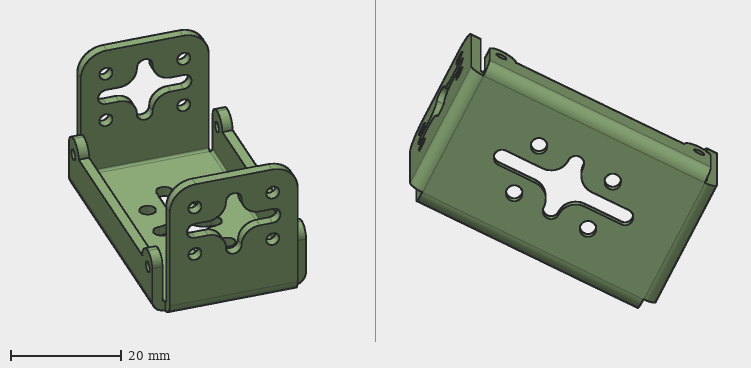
import cadquery as cq

length = 50.0
width = 29.7
end_wall_height = 27.6

thickness = 2.0
bend_radius = 2.5
inner_bend_radius = bend_radius - thickness
floor_length = length - 2 * bend_radius
floor_width = width - 2 * bend_radius

end_corner_radius = 5.0
end_pattern_drop = 10.0
end_slot_length = 18.0
end_hole_diameter = 2.5

side_wall_height = 9.2
ear_height = 12.0
ear_outer_radius = 2.4
ear_inner_radius = 3.0
ear_hole_diameter = 2.0
ear_hole_height = 8.5
ear_x = floor_length / 2 - ear_outer_radius

floor_slot_length = 28.0
floor_hole_diameter = 3.0

slot_width = 3.0
slot_blend_radius = 3.5
hole_spacing_long = 15.0
hole_spacing_short = 10.0


def cross_slot(plane, slot_length):
    """Cross-shaped cutter, its long arms along the plane's x axis, cutting one sheet thickness."""
    half = slot_width / 2
    blend_end = half + slot_blend_radius
    arm_center = slot_length / 2 - half
    outline = (
        cq.Workplane(plane)
        .moveTo(-arm_center, half)
        .lineTo(-blend_end, half)
        .radiusArc((-half, blend_end), -slot_blend_radius)
        .threePointArc((0, blend_end + half), (half, blend_end))
        .radiusArc((blend_end, half), -slot_blend_radius)
        .lineTo(arm_center, half)
        .threePointArc((arm_center + half, 0), (arm_center, -half))
        .lineTo(blend_end, -half)
        .radiusArc((half, -blend_end), -slot_blend_radius)
        .threePointArc((0, -blend_end - half), (-half, -blend_end))
        .radiusArc((-blend_end, -half), -slot_blend_radius)
        .lineTo(-arm_center, -half)
        .threePointArc((-arm_center - half, 0), (-arm_center, half))
        .close()
    )
    return outline.extrude(thickness)


def hole_pattern(plane, slot_length, hole_diameter):
    """Cross slot with four round holes around it."""
    holes = (
        cq.Workplane(plane)
        .rect(hole_spacing_long, hole_spacing_short, forConstruction=True)
        .vertices()
        .circle(hole_diameter / 2)
        .extrude(thickness)
    )
    return cross_slot(plane, slot_length).union(holes)


def bend(bend_length):
    """Quarter-round bend along y, joining a floor edge at x = 0 to a wall on the +x side."""
    return (
        cq.Workplane("XZ")
        .moveTo(0, 0)
        .radiusArc((bend_radius, bend_radius), -bend_radius)
        .lineTo(inner_bend_radius, bend_radius)
        .radiusArc((0, thickness), inner_bend_radius)
        .close()
        .extrude(bend_length / 2, both=True)
    )


def make_floor():
    plate = cq.Workplane("XY").rect(floor_length, floor_width).extrude(thickness)
    return plate.cut(hole_pattern(cq.Plane.XY(), floor_slot_length, floor_hole_diameter))


def make_end_wall():
    """Wall and bend at the +X end."""
    wall_plane = cq.Plane(origin=(length / 2 - thickness, 0, 0), xDir=(0, 1, 0), normal=(1, 0, 0))
    wall = (
        cq.Workplane(wall_plane)
        .moveTo(0, (bend_radius + end_wall_height) / 2)
        .rect(floor_width, end_wall_height - bend_radius)
        .extrude(thickness)
        .edges("|X and >Z")
        .fillet(end_corner_radius)
    )
    pattern_plane = cq.Plane(
        origin=(length / 2 - thickness, 0, end_wall_height - end_pattern_drop),
        xDir=(0, 1, 0),
        normal=(1, 0, 0),
    )
    wall = wall.cut(hole_pattern(pattern_plane, end_slot_length, end_hole_diameter))
    return wall.union(bend(floor_width).translate((floor_length / 2, 0, 0)))


def make_side_wall():
    """Wall and bend on the -Y side, with a drilled ear at each end."""
    outer_center_z = ear_height - ear_outer_radius
    inner_center_z = ear_height - ear_inner_radius
    ear_drop = side_wall_height - inner_center_z
    ear_foot_x = ear_x - (ear_inner_radius**2 - ear_drop**2) ** 0.5
    edge_x = floor_length / 2
    wall = (
        cq.Workplane("XZ", origin=(0, thickness - width / 2, 0))
        .moveTo(-edge_x, bend_radius)
        .lineTo(-edge_x, outer_center_z)
        .radiusArc((-ear_x, ear_height), ear_outer_radius)
        .radiusArc((-ear_foot_x, side_wall_height), ear_inner_radius)
        .lineTo(ear_foot_x, side_wall_height)
        .radiusArc((ear_x, ear_height), ear_inner_radius)
        .radiusArc((edge_x, outer_center_z), ear_outer_radius)
        .lineTo(edge_x, bend_radius)
        .close()
        .extrude(thickness)
    )
    ear_holes = (
        cq.Workplane("XZ", origin=(0, thickness - width / 2, 0))
        .pushPoints([(-ear_x, ear_hole_height), (ear_x, ear_hole_height)])
        .circle(ear_hole_diameter / 2)
        .extrude(thickness)
    )
    side_bend = (
        bend(floor_length)
        .rotate((0, 0, 0), (0, 0, 1), -90)
        .translate((0, -floor_width / 2, 0))
    )
    return wall.cut(ear_holes).union(side_bend)


end_wall = make_end_wall()
side_wall = make_side_wall()
bracket = (
    make_floor()
    .union(end_wall)
    .union(end_wall.mirror("YZ"))
    .union(side_wall)
    .union(side_wall.mirror("XZ"))
)
result = cq.Workplane("XY").newObject([bracket.solids().val()])